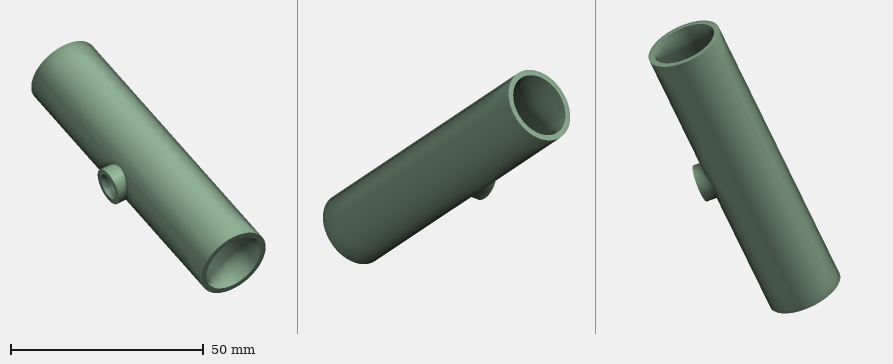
import cadquery as cq

tube_length = 80.0
tube_diameter = 20.0
wall = 1.5
bore_diameter = tube_diameter - 2 * wall

branch_diameter = tube_diameter / 2
branch_projection = 2.5
branch_bore_diameter = branch_diameter - 2 * wall
branch_reach = tube_diameter / 2 + branch_projection


def cylinder_along_x(diameter):
    """Cylinder the length of the tube, centred on the origin."""
    return cq.Workplane("YZ").circle(diameter / 2).extrude(tube_length / 2, both=True)


def cylinder_toward_front(diameter):
    """Cylinder from the tube axis to the branch face, along -Y."""
    return cq.Workplane("XZ").circle(diameter / 2).extrude(branch_reach)


body = cylinder_along_x(tube_diameter).union(cylinder_toward_front(branch_diameter))
result = body.cut(cylinder_along_x(bore_diameter)).cut(cylinder_toward_front(branch_bore_diameter))